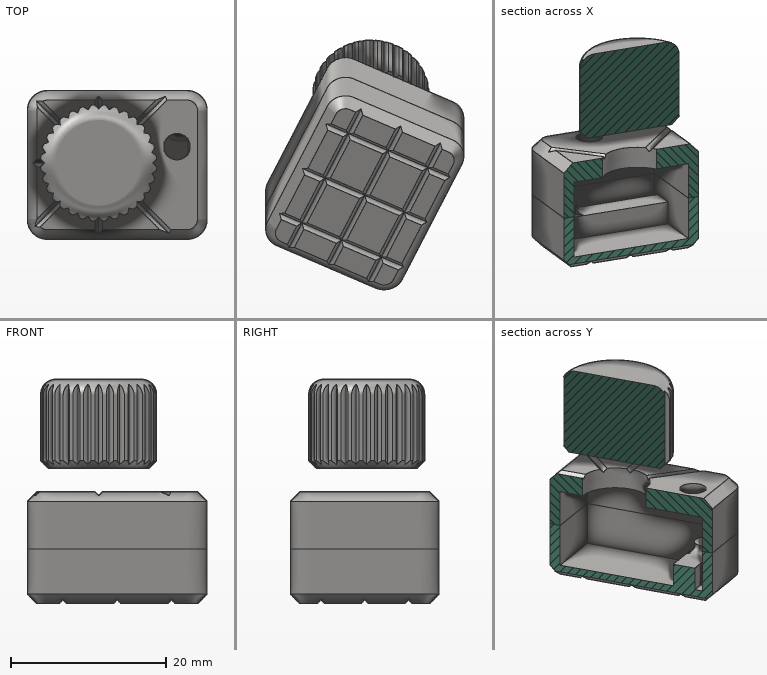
import cadquery as cq
import math

LENGTH = 23.2
WIDTH = 19.2
CORNER_RADIUS = 2.6
EDGE_CHAMFER = 1.25
LEFT = -9.2
FRONT = -9.85
RIGHT = LEFT + LENGTH
BACK = FRONT + WIDTH
CENTRE_X = (LEFT + RIGHT) / 2
CENTRE_Y = (FRONT + BACK) / 2

PARTING_Z = 7.05
COVER_TOP_Z = 14.45

WALL = 1.5
FLOOR_Z = 1.5
CEILING_Z = 11.7

SHAFT_HOLE_DIAMETER = 9.0
LAMP_HOLE_DIAMETER = 3.4
LAMP_X = 10.1
LAMP_Y = 2.1

GROOVE_DEPTH = 0.5
DIAL_MARK_COUNT = 8
UNDER_GROOVE_PITCH_X = 7.0
UNDER_GROOVE_PITCH_Y = 5.65

LEDGE_LEFT = 8.4
LEDGE_RIGHT = 11.5
LEDGE_Z = 4.5
BOSS_X = 10.4
BOSS_Y = 5.6
BOSS_RADIUS = 1.6
BOSS_FLARE = 1.3

KNOB_DIAMETER = 15.0
KNOB_GAP = 3.0
KNOB_BOTTOM_Z = COVER_TOP_Z + KNOB_GAP
KNOB_HEIGHT = 11.5
KNOB_FILLET = 2.0
KNOB_CHAMFER = 1.0
KNOB_GROOVE_COUNT = 32
KNOB_GROOVE_DEPTH = 0.5


def block(x_min, x_max, y_min, y_max, z_min, z_max):
    """Box given by its limits along each axis."""
    size = (x_max - x_min, y_max - y_min, z_max - z_min)
    return cq.Workplane("XY").box(*size, centered=False).translate((x_min, y_min, z_min))


def housing_block(z_min, z_max, chamfered_face):
    """Housing outline with rounded corners and one chamfered end face."""
    body = block(LEFT, RIGHT, FRONT, BACK, z_min, z_max)
    return body.edges("|Z").fillet(CORNER_RADIUS).faces(chamfered_face).chamfer(EDGE_CHAMFER)


def cavity(z_min, z_max):
    """Inside space of the housing between two heights."""
    return block(LEFT + WALL, RIGHT - WALL, FRONT + WALL, BACK - WALL, z_min, z_max)


def v_groove(start, length):
    """90 degree V cutter along +X from the start distance, with its mouth facing up at Z = 0."""
    return (
        cq.Workplane("YZ", origin=(start, 0, 0))
        .polyline([(-2 * GROOVE_DEPTH, GROOVE_DEPTH), (0, -GROOVE_DEPTH), (2 * GROOVE_DEPTH, GROOVE_DEPTH)])
        .close()
        .extrude(length)
    )


def flare_profile(workplane):
    """Radial half section of the boss with its concave flare, on the -radius side."""
    arc_offset = BOSS_FLARE * (1 - math.sqrt(0.5))
    return (
        workplane.lineTo(-BOSS_RADIUS - BOSS_FLARE, 0)
        .threePointArc((-BOSS_RADIUS - arc_offset, arc_offset), (-BOSS_RADIUS, BOSS_FLARE))
        .lineTo(0, BOSS_FLARE)
        .close()
    )


def flared_boss():
    """Low boss, round on its left and straight to the ledge's right edge, flared on its -Y side."""
    foot = (BOSS_X, BOSS_Y, LEDGE_Z)
    post = cq.Workplane("XY", origin=foot).circle(BOSS_RADIUS).extrude(BOSS_FLARE)
    straight_length = LEDGE_RIGHT - BOSS_X
    post_side = block(0, straight_length, 0, BOSS_RADIUS, 0, BOSS_FLARE).translate(foot)
    straight_flare = flare_profile(cq.Workplane("YZ", origin=foot)).extrude(straight_length)
    ring = flare_profile(cq.Workplane("XZ", origin=foot)).revolve(360, (0, 0, 0), (0, 1, 0))
    sector_space = (
        cq.Workplane("XY", origin=foot)
        .polyline([(0, 0), (-WIDTH, -WIDTH), (0, -WIDTH)])
        .close()
        .extrude(BOSS_FLARE)
    )
    boss = post.union(post_side).union(straight_flare).union(ring.intersect(sector_space))
    return boss.intersect(block(LEDGE_LEFT, LEDGE_RIGHT, FRONT + WALL, BACK - WALL, LEDGE_Z, PARTING_Z))


def make_base():
    body = housing_block(0, PARTING_Z, "<Z").cut(cavity(FLOOR_Z, PARTING_Z))
    ledge = block(LEDGE_LEFT, LEDGE_RIGHT, FRONT + WALL, BACK - WALL, FLOOR_Z, LEDGE_Z)
    body = body.union(ledge).union(flared_boss())
    under_groove = v_groove(-LENGTH, 2 * LENGTH).rotate((0, 0, 0), (1, 0, 0), 180)
    for step in (-1, 0, 1):
        along_x = under_groove.translate((0, CENTRE_Y + step * UNDER_GROOVE_PITCH_Y, 0))
        along_y = under_groove.rotate((0, 0, 0), (0, 0, 1), 90)
        along_y = along_y.translate((CENTRE_X + step * UNDER_GROOVE_PITCH_X, 0, 0))
        body = body.cut(along_x).cut(along_y)
    return body


def make_cover():
    body = housing_block(PARTING_Z, COVER_TOP_Z, ">Z").cut(cavity(PARTING_Z, CEILING_Z))
    shaft_hole = cq.Workplane("XY").circle(SHAFT_HOLE_DIAMETER / 2).extrude(COVER_TOP_Z)
    lamp_hole = (
        cq.Workplane("XY").center(LAMP_X, LAMP_Y).circle(LAMP_HOLE_DIAMETER / 2).extrude(COVER_TOP_Z)
    )
    body = body.cut(shaft_hole).cut(lamp_hole)
    dial_mark = v_groove(0, LENGTH).translate((0, 0, COVER_TOP_Z))
    for index in range(1, DIAL_MARK_COUNT):
        body = body.cut(dial_mark.rotate((0, 0, 0), (0, 0, 1), index * 360 / DIAL_MARK_COUNT))
    return body


def make_knob():
    radius = KNOB_DIAMETER / 2
    knob = cq.Workplane("XY", origin=(0, 0, KNOB_BOTTOM_Z)).circle(radius).extrude(KNOB_HEIGHT)
    knob = knob.faces(">Z").edges().fillet(KNOB_FILLET).faces("<Z").chamfer(KNOB_CHAMFER)
    root = radius - KNOB_GROOVE_DEPTH
    mouth = radius + KNOB_GROOVE_DEPTH
    groove = (
        cq.Workplane("XY", origin=(0, 0, KNOB_BOTTOM_Z))
        .polyline([(root, 0), (mouth, -2 * KNOB_GROOVE_DEPTH), (mouth, 2 * KNOB_GROOVE_DEPTH)])
        .close()
        .extrude(KNOB_HEIGHT)
    )
    for index in range(KNOB_GROOVE_COUNT):
        knob = knob.cut(groove.rotate((0, 0, 0), (0, 0, 1), index * 360 / KNOB_GROOVE_COUNT))
    return knob


base = make_base()
cover = make_cover()
knob = make_knob()

result = cq.Compound.makeCompound([base.val(), cover.val(), knob.val()])